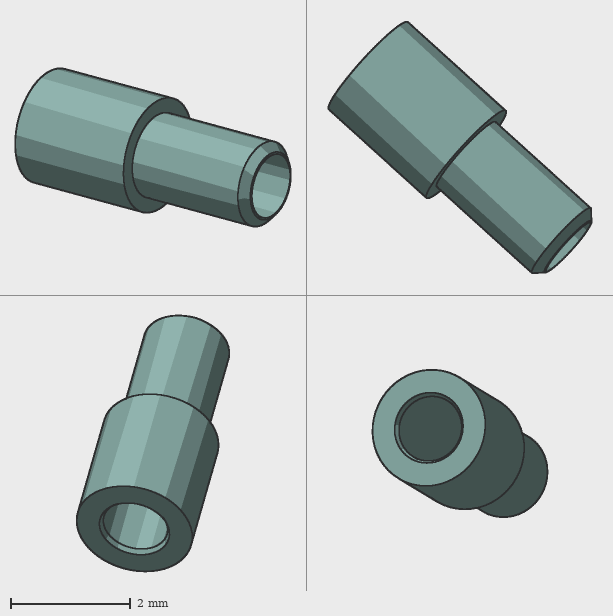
import cadquery as cq

total_length = 4.57
head_length = 2.235
head_diameter = 1.98
shank_diameter = 1.47
bore_diameter = 1.10
bore_mouth_diameter = 1.20
bore_mouth_depth = 0.087
tip_chamfer = 0.15
tip_rise = 0.008

head_radius = head_diameter / 2
shank_radius = shank_diameter / 2
bore_radius = bore_diameter / 2
bore_mouth_radius = bore_mouth_diameter / 2
chamfer_end = total_length - tip_rise
chamfer_start = chamfer_end - tip_chamfer


def sleeve():
    """Stepped sleeve turned about X: wide head, narrow shank, through bore with a bevelled mouth."""
    half_section = (
        cq.Workplane("XZ")
        .moveTo(0, bore_mouth_radius)
        .lineTo(0, head_radius)
        .lineTo(head_length, head_radius)
        .lineTo(head_length, shank_radius)
        .lineTo(chamfer_start, shank_radius)
        .lineTo(chamfer_end, shank_radius - tip_chamfer)
        .lineTo(total_length, bore_radius)
        .lineTo(bore_mouth_depth, bore_radius)
        .close()
    )
    return half_section.revolve(360, (0, 0, 0), (1, 0, 0))


result = sleeve()